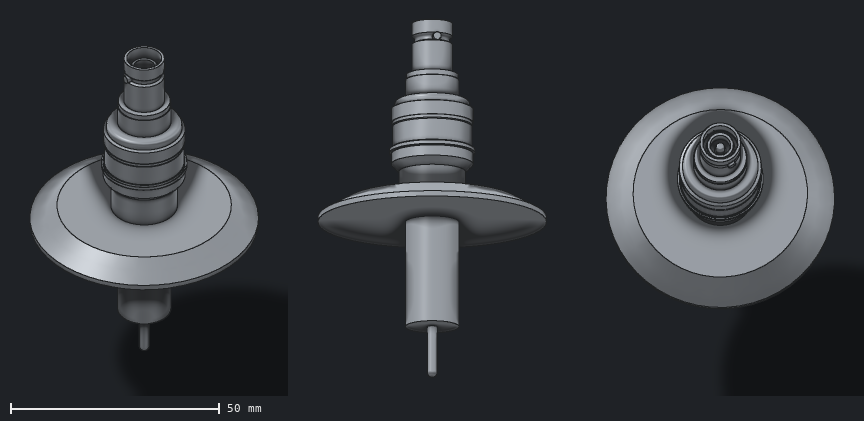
import cadquery as cq
import math


pin_radius = 1.2
pin_tip_height = 1.2

tube_radius = 6.45
tube_bottom = 12.5

flange_radius = 27.4
flange_top_radius = 20.9
flange_bottom = 38.25
flange_rim_top = 39.55
flange_top = 43.2

neck_radius = 8.0
coupling_radius = 9.85
flare_bottom = 50.6
flare_top = flare_bottom + coupling_radius - neck_radius

collar_radius = 10.3
collar_bottom = 55.2
collar_top = 56.1
collar_dish_depth = 0.35
shoulder_top = 56.4
lower_bevel = 0.3

barrel_radius = 9.6
barrel_top = 61.6
barrel_step_radius = 9.7
barrel_step_bottom = 61.85
band_bottom = 62.6
band_top = 66.0

ring_radius = 9.1
ring_bottom = 66.3
ring_top = 68.2
ring_fillet = 1.05

body_radius = 6.45
body_shoulder = 73.2
body_top_radius = 6.3
body_top = 74.5

sleeve_radius = 4.9
sleeve_top = 87.1
groove_bottom = 82.0
groove_top = 83.9
groove_middle = (groove_bottom + groove_top) / 2
groove_depth = 0.6

stud_radius = 1.0
stud_reach = 5.5
stud_height = groove_middle

bore_radius = 4.2
bore_floor_radius = 3.5
bore_depth = 5.2
bore_cone_height = 0.4

insulator_radius = 3.1
insulator_top = 84.8
hole_radius = 2.4
hole_floor_radius = 1.4
hole_depth = 4.6
hole_cone_height = 1.05

contact_radius = 1.05
contact_top = 83.6
contact_fillet = 0.5

arc_middle = math.sqrt(0.5)


def revolve_about_z(outline):
    """Turn a closed outline in the XZ plane into a solid around Z."""
    return outline.revolve(360, (0, 0, 0), (0, 1, 0))


def make_body():
    """Solid of revolution for everything but the socket and studs."""
    fillet_center_r = ring_radius - ring_fillet
    fillet_center_z = ring_top - ring_fillet
    outline = (
        cq.Workplane("XZ")
        .moveTo(0, 0)
        .threePointArc(
            (pin_radius * arc_middle, pin_tip_height * (1 - arc_middle)),
            (pin_radius, pin_tip_height),
        )
        .lineTo(pin_radius, tube_bottom)
        .lineTo(tube_radius, tube_bottom)
        .lineTo(tube_radius, flange_bottom)
        .lineTo(flange_radius, flange_bottom)
        .lineTo(flange_radius, flange_rim_top)
        .lineTo(flange_top_radius, flange_top)
        .lineTo(neck_radius, flange_top)
        .lineTo(neck_radius, flare_bottom)
        .lineTo(coupling_radius, flare_top)
        .lineTo(coupling_radius, collar_bottom - lower_bevel)
        .lineTo(coupling_radius - lower_bevel, collar_bottom)
        .lineTo(collar_radius, collar_bottom)
        .lineTo(collar_radius, collar_top)
        .lineTo(coupling_radius, collar_top - collar_dish_depth)
        .lineTo(coupling_radius, shoulder_top)
        .lineTo(barrel_radius, shoulder_top)
        .lineTo(barrel_radius, barrel_top)
        .lineTo(barrel_step_radius, barrel_step_bottom)
        .lineTo(barrel_step_radius, band_bottom)
        .lineTo(coupling_radius, band_bottom)
        .lineTo(coupling_radius, band_top)
        .lineTo(ring_radius, ring_bottom)
        .lineTo(ring_radius, fillet_center_z)
        .threePointArc(
            (
                fillet_center_r + ring_fillet * arc_middle,
                fillet_center_z + ring_fillet * arc_middle,
            ),
            (fillet_center_r, ring_top),
        )
        .lineTo(body_radius, ring_top)
        .lineTo(body_radius, body_shoulder)
        .lineTo(body_top_radius, body_shoulder)
        .lineTo(body_top_radius, body_top)
        .lineTo(sleeve_radius, body_top)
        .lineTo(sleeve_radius, groove_bottom)
        .threePointArc(
            (sleeve_radius - groove_depth, groove_middle),
            (sleeve_radius, groove_top),
        )
        .lineTo(sleeve_radius, sleeve_top)
        .lineTo(0, sleeve_top)
        .close()
    )
    return revolve_about_z(outline)


def make_studs():
    """Round bar across the sleeve along Y, forming both studs."""
    return (
        cq.Workplane("XZ")
        .center(0, stud_height)
        .circle(stud_radius)
        .extrude(stud_reach, both=True)
    )


def make_blind_hole(top, depth, radius, floor_radius, cone_height):
    """Cutter for a hole whose wall meets its flat floor through a cone."""
    floor = top - depth
    return revolve_about_z(
        cq.Workplane("XZ")
        .moveTo(0, floor)
        .lineTo(floor_radius, floor)
        .lineTo(radius, floor + cone_height)
        .lineTo(radius, top)
        .lineTo(0, top)
        .close()
    )


def make_post(radius, bottom, top):
    """Upright cylinder on the part's axis."""
    return cq.Workplane("XY", origin=(0, 0, bottom)).circle(radius).extrude(top - bottom)


bore = make_blind_hole(sleeve_top, bore_depth, bore_radius, bore_floor_radius, bore_cone_height)
insulator = make_post(insulator_radius, sleeve_top - bore_depth, insulator_top)
hole = make_blind_hole(insulator_top, hole_depth, hole_radius, hole_floor_radius, hole_cone_height)
contact = make_post(contact_radius, insulator_top - hole_depth, contact_top)
contact = contact.faces(">Z").edges().fillet(contact_fillet)

result = (
    make_body()
    .union(make_studs())
    .cut(bore)
    .union(insulator)
    .cut(hole)
    .union(contact)
)